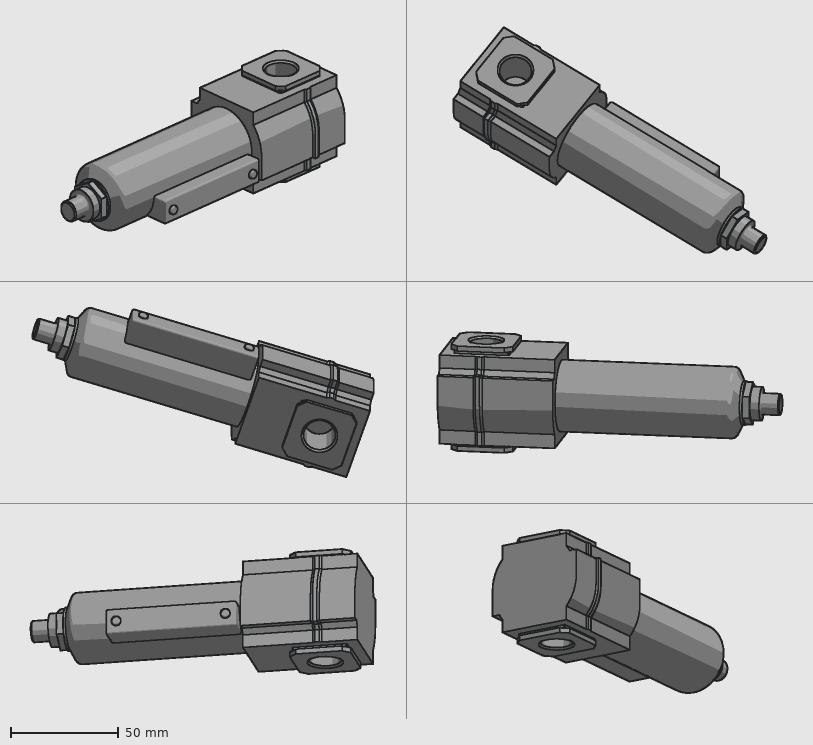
import cadquery as cq
import math


overall_length = 158.8
overall_height = 50.3

head_length = 54.6
head_half_height = 21.3
head_half_width = 17.8
bulge_half_width = 23.3
notch_half_width = 19.7
notch_top = 15.1
bulge_shelf = 12.4
bulge_arc_end = 14.6

belt_height = 0.6
belt_crest_width = 2.0
belt_base_width = 4.3

port_y = 35.5
flange_size = 29.2
flange_chamfer = 3.5
flange_thickness = 2.4
flange_outer_z = overall_height / 2
neck_size = 26.0
neck_chamfer = 0.5
port_radius = 7.5
port_mouth_radius = 8.4
port_depth = 19.0

bowl_radius = 16.8
bowl_straight = 81.3
shoulder_radius = 2.7
cone_angle = math.radians(63)
bowl_end = 87.5
seat_radius = 10.3

gauge_start = 1.9
gauge_length = 62.2
gauge_outer_x = 24.1
gauge_height = bulge_shelf
gauge_round = 1.1
screw_radius = 2.2
screw_height = 1.5
screw_round = 0.8
screw_inset = 5.1

hex_flats = 17.8
hex_thickness = 3.3
collar_radius = 8.0
collar_length = 4.3
pin_radius = 5.1
drain_end = overall_length - head_length
pin_root_fillet = 1.0
pin_tip_chamfer = 0.6


def section(y):
    """Workplane across the bowl axis at Y = y: local x is X, local y is Z, extrusions run to -Y."""
    return cq.Workplane("XZ", origin=(0, y, 0))


def head_outline(y):
    """Head section: flat top and bottom, with a bulge on each side, the right a half turn of the left."""
    arc_rise = bulge_half_width - head_half_width
    arc_radius = (bulge_arc_end**2 + arc_rise**2) / (2 * arc_rise)
    half_angle = math.asin(bulge_arc_end / arc_radius) / 2
    mid_x = bulge_half_width - arc_radius * (1 - math.cos(half_angle))
    mid_z = arc_radius * math.sin(half_angle)
    outline = section(y).moveTo(-head_half_width, head_half_height)
    for side in (1, -1):
        outline = (
            outline.lineTo(side * head_half_width, side * head_half_height)
            .lineTo(side * head_half_width, side * bulge_arc_end)
            .threePointArc((side * mid_x, side * mid_z), (side * bulge_half_width, 0))
            .lineTo(side * bulge_half_width, -side * bulge_shelf)
            .lineTo(side * notch_half_width, -side * bulge_shelf)
            .lineTo(side * head_half_width, -side * notch_top)
            .lineTo(side * head_half_width, -side * head_half_height)
        )
    return outline.close()


def make_belt():
    """Belt that follows the head outline, with sloped flanks, kept to the height of the head."""
    half_crest = belt_crest_width / 2
    flank = (belt_base_width - belt_crest_width) / 2
    flank_angle = math.degrees(math.atan2(belt_height, flank))
    crest = head_outline(port_y).offset2D(belt_height, "intersection").extrude(half_crest)
    flank_outline = head_outline(port_y - half_crest).offset2D(belt_height, "intersection")
    half = crest.union(flank_outline.extrude(flank, taper=flank_angle))
    belt = half.union(half.mirror("XZ", (0, port_y, 0)))
    room = cq.Workplane("XY").box(overall_height * 2, overall_length * 2, head_half_height * 2)
    return belt.intersect(room)


def make_port_flange():
    """Neck and chamfered square flange on top of the head."""
    flange_bottom = flange_outer_z - flange_thickness
    neck = (
        cq.Workplane("XY", origin=(0, port_y, head_half_height))
        .rect(neck_size, neck_size)
        .extrude(flange_bottom - head_half_height)
        .edges("|Z")
        .chamfer(neck_chamfer)
    )
    flange = (
        cq.Workplane("XY", origin=(0, port_y, flange_bottom))
        .rect(flange_size, flange_size)
        .extrude(flange_thickness)
        .edges("|Z")
        .chamfer(flange_chamfer)
    )
    return neck.union(flange)


def make_port_hole():
    """Blind port hole with a chamfered mouth, open at the top flange."""
    mouth_chamfer = port_mouth_radius - port_radius
    return (
        cq.Workplane("XZ", origin=(0, port_y, flange_outer_z))
        .polyline([
            (0, 0),
            (port_mouth_radius, 0),
            (port_radius, -mouth_chamfer),
            (port_radius, -port_depth),
            (0, -port_depth),
        ])
        .close()
        .revolve(360, (0, 0), (0, 1))
    )


def make_head():
    flange = make_port_flange()
    hole = make_port_hole()
    head = head_outline(head_length).extrude(head_length).union(make_belt())
    head = head.union(flange).union(flange.mirror("XY"))
    return head.cut(hole).cut(hole.mirror("XY"))


def make_gauge():
    """Sight gauge: a bar rounded on its outer edges with two round-edged screw heads on its outer face."""
    gauge = (
        cq.Workplane("XY")
        .box(gauge_outer_x, gauge_length, gauge_height, centered=False)
        .translate((0, -gauge_start - gauge_length, -gauge_height))
        .edges(">X or (|X and (<Y or >Y)) or (|Z and >X)")
        .fillet(gauge_round)
    )
    for y in (-gauge_start - screw_inset, -gauge_start - gauge_length + screw_inset):
        screw = (
            cq.Workplane("YZ", origin=(gauge_outer_x, y, -gauge_height / 2))
            .circle(screw_radius)
            .extrude(screw_height)
            .faces(">X")
            .edges()
            .fillet(screw_round)
        )
        gauge = gauge.union(screw)
    return gauge


def make_bowl():
    """Bowl turned about the Y axis, with a rounded shoulder, a cone and a seat, plus the gauge."""
    centre_radius = bowl_radius - shoulder_radius
    half_angle = cone_angle / 2
    shoulder_mid = (
        -centre_radius - shoulder_radius * math.cos(half_angle),
        -bowl_straight - shoulder_radius * math.sin(half_angle),
    )
    cone_start_radius = centre_radius + shoulder_radius * math.cos(cone_angle)
    cone_start = bowl_straight + shoulder_radius * math.sin(cone_angle)
    cone_end = cone_start + (cone_start_radius - seat_radius) / math.tan(cone_angle)
    bowl = (
        cq.Workplane("XY")
        .lineTo(-bowl_radius, 0)
        .lineTo(-bowl_radius, -bowl_straight)
        .threePointArc(shoulder_mid, (-cone_start_radius, -cone_start))
        .lineTo(-seat_radius, -cone_end)
        .lineTo(-seat_radius, -bowl_end)
        .lineTo(0, -bowl_end)
        .close()
        .revolve(360, (0, 0), (0, 1))
    )
    return bowl.union(make_gauge())


def make_drain():
    """Drain: hexagon with corners up and down, then a collar and a pin."""
    corner_diameter = hex_flats / math.cos(math.pi / 6)
    hexagon = (
        section(-bowl_end)
        .transformed(rotate=(0, 0, 90))
        .polygon(6, corner_diameter)
        .extrude(hex_thickness)
    )
    collar_start = bowl_end + hex_thickness
    collar_end = collar_start + collar_length
    arc_dip = pin_root_fillet * (1 - math.cos(math.pi / 4))
    turned = (
        cq.Workplane("YZ")
        .moveTo(-collar_start, 0)
        .lineTo(-collar_start, collar_radius)
        .lineTo(-collar_end, collar_radius)
        .lineTo(-collar_end, pin_radius + pin_root_fillet)
        .threePointArc(
            (-collar_end - arc_dip, pin_radius + arc_dip),
            (-collar_end - pin_root_fillet, pin_radius),
        )
        .lineTo(-drain_end + pin_tip_chamfer, pin_radius)
        .lineTo(-drain_end, pin_radius - pin_tip_chamfer)
        .lineTo(-drain_end, 0)
        .close()
        .revolve(360, (0, 0), (1, 0))
    )
    return hexagon.union(turned)


head = make_head()
bowl = make_bowl()
drain = make_drain()
result = cq.Compound.makeCompound([head.val(), bowl.val(), drain.val()])